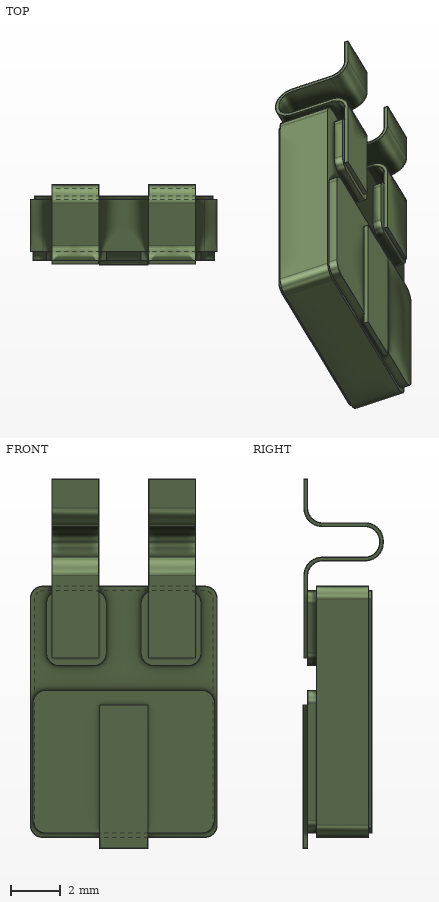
import cadquery as cq

TOTAL_HEIGHT = 14.85
CORNER_RADIUS = 0.5

BODY_WIDTH = 7.51
BODY_HEIGHT = 10.1
BODY_DEPTH = 2.1
BODY_BOTTOM = 0.45

PLATE_INSET = 0.18
PLATE_DEPTH = 0.13

PAD_DEPTH = 0.35
LARGE_PAD_WIDTH = 7.29
LARGE_PAD_HEIGHT = 5.73
PAD_BOTTOM = BODY_BOTTOM + PLATE_INSET
SMALL_PAD_WIDTH = 2.4
SMALL_PAD_HEIGHT = 3.01
SMALL_PAD_OFFSET = 1.9
SMALL_PAD_BOTTOM = BODY_BOTTOM + BODY_HEIGHT - PLATE_INSET - SMALL_PAD_HEIGHT

TAB_WIDTH = 1.93
TAB_HEIGHT = 5.78
TAB_DEPTH = 0.18

STRIP_WIDTH = 1.89
STRIP_OFFSET = 1.95
STRIP_THICKNESS = 0.15
STRIP_BOTTOM = 7.65
BEND_INNER_RADIUS = 0.6
LOOP_CENTRE_Z = 12.33
LOOP_FLAT = 0.05
LOOP_BACK = 3.05


def front_block(width, height, depth, bottom, front, centre_x=0.0, radius=0.0):
    """Block with its front face at Y = front; the edges along Y can be rounded."""
    block = cq.Workplane("XY").box(width, depth, height, centered=(True, False, False))
    if radius > 0:
        block = block.edges("|Y").fillet(radius)
    return block.translate((centre_x, front, bottom))


def bent_strip(centre_x):
    """Strip that rises up the pad, loops back over the body and rises again."""
    mid_radius = BEND_INNER_RADIUS + STRIP_THICKNESS / 2
    outer_radius = BEND_INNER_RADIUS + STRIP_THICKNESS
    front_y = -STRIP_THICKNESS / 2
    front_bend_y = front_y + mid_radius
    loop_centre_y = LOOP_BACK - outer_radius
    loop_back_y = loop_centre_y + mid_radius
    flat_bottom_z = LOOP_CENTRE_Z - LOOP_FLAT / 2
    flat_top_z = LOOP_CENTRE_Z + LOOP_FLAT / 2
    lower_leg_z = flat_bottom_z - mid_radius
    upper_leg_z = flat_top_z + mid_radius

    centre_line = (
        cq.Workplane("YZ")
        .moveTo(front_y, STRIP_BOTTOM)
        .lineTo(front_y, lower_leg_z - mid_radius)
        .tangentArcPoint((front_bend_y, lower_leg_z), relative=False)
        .lineTo(loop_centre_y, lower_leg_z)
        .tangentArcPoint((loop_back_y, flat_bottom_z), relative=False)
        .lineTo(loop_back_y, flat_top_z)
        .tangentArcPoint((loop_centre_y, upper_leg_z), relative=False)
        .lineTo(front_bend_y, upper_leg_z)
        .tangentArcPoint((front_y, upper_leg_z + mid_radius), relative=False)
        .lineTo(front_y, TOTAL_HEIGHT)
    )
    cross_section = cq.Workplane("XY", origin=(0, front_y, STRIP_BOTTOM)).rect(STRIP_WIDTH, STRIP_THICKNESS)
    return cross_section.sweep(centre_line).translate((centre_x, 0, 0))


body = front_block(BODY_WIDTH, BODY_HEIGHT, BODY_DEPTH, BODY_BOTTOM, PAD_DEPTH, radius=CORNER_RADIUS)

back_plate = front_block(
    BODY_WIDTH - 2 * PLATE_INSET,
    BODY_HEIGHT - 2 * PLATE_INSET,
    PLATE_DEPTH,
    BODY_BOTTOM + PLATE_INSET,
    PAD_DEPTH + BODY_DEPTH,
    radius=CORNER_RADIUS - PLATE_INSET,
)

large_pad = front_block(
    LARGE_PAD_WIDTH, LARGE_PAD_HEIGHT, PAD_DEPTH, PAD_BOTTOM, 0, radius=CORNER_RADIUS
)

tab = front_block(TAB_WIDTH, TAB_HEIGHT, TAB_DEPTH, 0, -TAB_DEPTH)

result = body.union(back_plate).union(large_pad).union(tab)

for side in (-1, 1):
    small_pad = front_block(
        SMALL_PAD_WIDTH,
        SMALL_PAD_HEIGHT,
        PAD_DEPTH,
        SMALL_PAD_BOTTOM,
        0,
        centre_x=side * SMALL_PAD_OFFSET,
        radius=CORNER_RADIUS,
    )
    result = result.union(small_pad).union(bent_strip(side * STRIP_OFFSET))